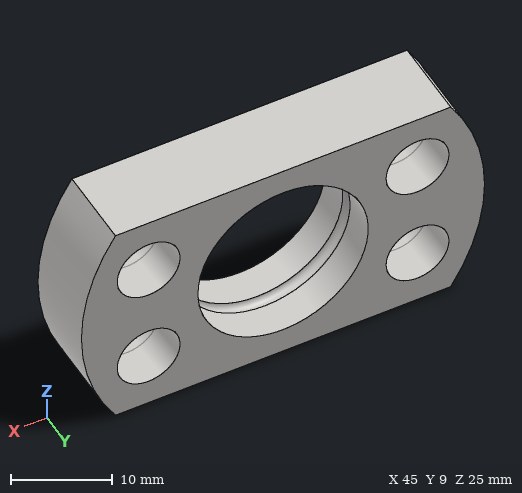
import cadquery as cq

disc_diameter = 45.0
height = 25.0
thickness = 9.0

bore_diameter = 19.0
groove_width = 1.5

hole_diameter = 7.0
hole_spacing_x = 30.0
hole_spacing_z = 12.0


def cylinder_along_y(diameter):
    """Cylinder on the Y axis, as long as the plate is thick."""
    return cq.Workplane("XZ").circle(diameter / 2).extrude(thickness / 2, both=True)


def make_plate():
    """Disc trimmed by flats at the top and bottom."""
    flats = cq.Workplane("XY").box(disc_diameter, thickness, height)
    return cylinder_along_y(disc_diameter).intersect(flats)


def make_groove():
    """Ring of circular section centred on the bore wall at mid-thickness."""
    bore_radius = bore_diameter / 2
    return (
        cq.Workplane("YZ")
        .center(0, -bore_radius)
        .circle(groove_width / 2)
        .revolve(360, (0, bore_radius), (1, bore_radius))
    )


def make_mounting_holes():
    """Four parallel cylinders for the corner holes."""
    return (
        cq.Workplane("XZ")
        .rect(hole_spacing_x, hole_spacing_z, forConstruction=True)
        .vertices()
        .circle(hole_diameter / 2)
        .extrude(thickness / 2, both=True)
    )


result = (
    make_plate()
    .cut(cylinder_along_y(bore_diameter))
    .cut(make_groove())
    .cut(make_mounting_holes())
)